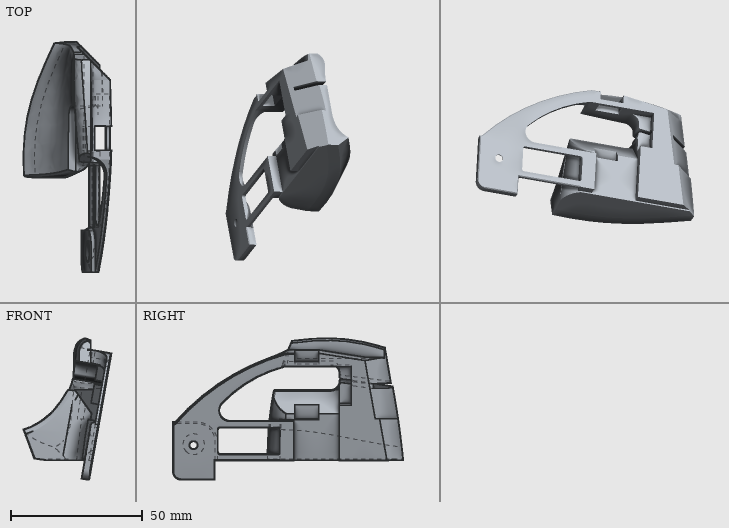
import cadquery as cq
import math

TILT = 10.0
PLATE_FOOT_X = 25.0
PLATE_THICK = 1.5
FAR = 131.4
OVERLAP = 0.9

BAR_BOTTOM = 7.45
BAR_WIDTH = 2.4
WINDOW_BOTTOM = BAR_BOTTOM + BAR_WIDTH
WINDOW_TOP = 20.2
OPENING_BOTTOM = WINDOW_TOP + BAR_WIDTH
PLATE_TOP = 48.9
EDGE_CHAMFER = 0.35
WINDOW_FRONT = 17.2
WINDOW_BACK = 40.7
WINDOW_RADIUS = 0.9
POST_BACK = 46.0

PAD_THICK = 2 * PLATE_THICK
PAD_LENGTH = 16.0
PAD_TOP = 21.4
PAD_ROUND = 7.9
PAD_FOOT_ROUND = 3.5
PAD_SLOPE = 30.0
HOLE_Y = 7.9
HOLE_V = 13.4
HOLE_DIAMETER = 3.1
SINK_DIAMETER = 8.1

BODY_BACK_W = -3.5
BODY_BOTTOM = 7.45
BODY_FRONT = 35.9
CORNER_START_W = -11.4
CORNER_END_Y = 41.6
CORNER_TOP = 34.2
BEVEL_TOP = (19.45, 34.35)
BEVEL_FOOT = (27.2, 23.5)
EDGE_LAND = 0.5
EDGE_DROP = 1.75
FRONT_RAKE = 4.5
HEEL_TOP = 8.15
HEEL_INSET = 4.1
HEEL_RUN = 4.7
CAP_BACK_X = 25.6
CAP_BACK_DROP = 0.9

NOTCH_FLOOR = 32.4
NOTCH_CEILING = 43.7
NOTCH_BACK = 63.35
NOTCH_ROUND = 3.3
SLOT_END = 87.6
SLOT_FRONT_V = 37.1
SLOT_FRONT_WIDTH = 1.4
SLOT_BACK_V = 33.5
SLOT_BACK_WIDTH = 1.9
SLOT_MOUTH_ROUND = 0.9
RECESS_LEFT_W = -4.4
RECESS_BACK = 67.9
RECESS_FLOOR = 28.9

ROOF_LEFT_W = -7.45
ROOF_GAP_FRONT = 46.4
ROOF_GAP_BACK = 55.55
ROOF_GAP_LEFT_W = -6.4
ROOF_GAP_TOP = 45.6
ROOF_BACK = 73.1
ROOF_BACK_TOP = 46.1
ARM_FRONT = 43.8
ARM_ROUND = 7.45
ARM_LEFT_W = -9.2

UPPER_TRIM = 106.0
LOWER_TRIM = 107.7
TRIM_STEP_Z = 23.3


def lean(solid):
    """Lean an upright (w, y, v) solid over and move it into place."""
    return solid.rotate((0, 0, 0), (0, 1, 0), TILT).translate((PLATE_FOOT_X, 0, 0))


def leaned_point(w, v):
    """Return the X and Z of a point given in the leaning frame."""
    angle = math.radians(TILT)
    x = PLATE_FOOT_X + w * math.cos(angle) + v * math.sin(angle)
    z = v * math.cos(angle) - w * math.sin(angle)
    return x, z


def block(w_range, y_range, v_range):
    """Upright box given by its ranges."""
    low, high = zip(w_range, y_range, v_range)
    size = [b - a for a, b in zip(low, high)]
    return cq.Workplane("XY").box(*size, centered=False).translate(low)


def side_profile(w):
    """Sketch plane across the plate at depth w, with axes y and v."""
    return cq.Workplane("YZ", origin=(w, 0, 0))


def frame_outline(depth):
    """Frame band with its sloping top edge and the large opening, before bending."""
    outer = (
        side_profile(-depth)
        .moveTo(0, 0)
        .lineTo(0, PAD_TOP)
        .lineTo(1.0, 22.1)
        .threePointArc((21.8, 39.7), (42.9, PLATE_TOP))
        .lineTo(POST_BACK, PLATE_TOP)
        .lineTo(POST_BACK, BAR_BOTTOM)
        .lineTo(PAD_LENGTH, BAR_BOTTOM)
        .lineTo(PAD_LENGTH, 0)
        .close()
        .extrude(depth)
        .faces(">X").edges("not >Y").chamfer(EDGE_CHAMFER)
    )
    opening = (
        side_profile(-depth)
        .moveTo(POST_BACK, OPENING_BOTTOM)
        .lineTo(21.7, OPENING_BOTTOM)
        .threePointArc((18.05, 25.0), (18.8, 29.6))
        .threePointArc((29.2, 38.0), (42.5, NOTCH_CEILING))
        .lineTo(POST_BACK, NOTCH_CEILING)
        .close()
        .extrude(depth)
    )
    return outer.cut(opening)


def frame_plate():
    """Flat frame with its window, and the posts that reach the grip body."""
    plate = frame_outline(PLATE_THICK)
    window = block(
        (-PLATE_THICK, 0), (WINDOW_FRONT, WINDOW_BACK), (WINDOW_BOTTOM, WINDOW_TOP)
    ).edges("|X").fillet(WINDOW_RADIUS)
    posts = block((BODY_BACK_W - OVERLAP, 0), (WINDOW_BACK, POST_BACK), (BAR_BOTTOM, OPENING_BOTTOM))
    return plate.cut(window).union(posts)


def arm():
    """Bend that carries the frame band across to the cap."""
    inner_w = -PLATE_THICK
    plan = (
        cq.Workplane("XY")
        .moveTo(0, ARM_FRONT - ARM_ROUND)
        .lineTo(inner_w, ARM_FRONT - ARM_ROUND)
        .radiusArc((inner_w - ARM_ROUND, ARM_FRONT), -ARM_ROUND)
        .lineTo(ARM_LEFT_W, ARM_FRONT)
        .lineTo(ARM_LEFT_W, ROOF_GAP_FRONT)
        .lineTo(0, ROOF_GAP_FRONT)
        .close()
        .extrude(FAR)
    )
    band = frame_outline(-ARM_LEFT_W).union(
        block((ARM_LEFT_W, 0), (POST_BACK, ROOF_GAP_FRONT), (NOTCH_CEILING, PLATE_TOP))
    )
    return band.intersect(plan).intersect(
        block((ARM_LEFT_W, 0), (0, FAR), (OPENING_BOTTOM + BAR_WIDTH, FAR))
    )


def mounting_pad():
    """Raised pad with sloping sides where it meets the frame."""
    step = PAD_THICK - PLATE_THICK
    flare = step * math.tan(math.radians(PAD_SLOPE))
    pad = (
        side_profile(-PLATE_THICK)
        .moveTo(-PAD_LENGTH, -PAD_TOP)
        .lineTo(-PAD_LENGTH, PAD_TOP + flare)
        .lineTo(PAD_LENGTH + flare - PAD_ROUND, PAD_TOP + flare)
        .radiusArc((PAD_LENGTH + flare, PAD_TOP + flare - PAD_ROUND), PAD_ROUND)
        .lineTo(PAD_LENGTH + flare, -PAD_TOP)
        .close()
        .extrude(-step, taper=PAD_SLOPE)
    )
    flared = block((-PAD_THICK, 0), (0, PAD_LENGTH + flare), (BAR_BOTTOM, FAR))
    square = block((-PAD_THICK, 0), (0, PAD_LENGTH), (0, FAR))
    return pad.intersect(flared.union(square))


def finish_pad(part):
    """Round the pad foot and sink the screw hole."""
    corner = block((-PAD_THICK, 0), (0, PAD_FOOT_ROUND), (0, PAD_FOOT_ROUND)).cut(
        side_profile(-PAD_THICK).center(PAD_FOOT_ROUND, PAD_FOOT_ROUND).circle(PAD_FOOT_ROUND)
        .extrude(PAD_THICK)
    )
    hole = side_profile(-PAD_THICK).center(HOLE_Y, HOLE_V).circle(HOLE_DIAMETER / 2).extrude(PAD_THICK)
    sink_depth = (SINK_DIAMETER - HOLE_DIAMETER) / 2
    sink = cq.Workplane(
        cq.Solid.makeCone(
            SINK_DIAMETER / 2, HOLE_DIAMETER / 2, sink_depth,
            cq.Vector(-PAD_THICK, HOLE_Y, HOLE_V), cq.Vector(1, 0, 0),
        )
    )
    return part.cut(corner).cut(hole).cut(sink)


GRIP_STATIONS = [
    (35.05, [(0.3, 19.0), (12.6, 27.9), (16.8, 34.2), (21.9, 45.6), (22.8, 50.3), (25.0, 51.8)]),
    (48.2, [(0.1, 18.9), (12.5, 27.7), (16.8, 34.0), (20.6, 44.7), (21.3, 51.1), (24.2, 53.3)]),
    (61.3, [(1.9, 17.1), (13.0, 27.0), (17.3, 34.2), (19.5, 44.7), (20.4, 51.9), (23.3, 53.9)]),
    (74.5, [(6.1, 14.55), (14.0, 23.2), (18.0, 34.2), (19.2, 43.8), (19.6, 49.8), (22.3, 52.05)]),
    (88.5, [(12.35, 12.4), (16.65, 15.8), (19.2, 26.3), (19.45, 40.3), (19.7, 45.6), (21.9, 47.75)]),
]


def grip_section(y, hand_points):
    """Closed cross section of body and cap at station y."""
    lip_x, lip_z = hand_points[0]
    crown_z = hand_points[-1][1]
    heel_x = lip_x + HEEL_INSET
    shoulder = leaned_point(BODY_BACK_W, NOTCH_CEILING)
    back_foot_x = leaned_point(BODY_BACK_W, BODY_BOTTOM)[0]
    return (
        cq.Workplane("XZ", origin=(0, y, 0))
        .moveTo(lip_x, lip_z)
        .spline(hand_points[1:], includeCurrent=True)
        .lineTo(CAP_BACK_X, crown_z - CAP_BACK_DROP)
        .lineTo(CAP_BACK_X, shoulder[1] + CAP_BACK_DROP)
        .lineTo(*shoulder)
        .lineTo(back_foot_x, BODY_BOTTOM)
        .lineTo(heel_x + HEEL_RUN, BODY_BOTTOM)
        .lineTo(heel_x, HEEL_TOP)
        .close()
        .wire()
        .val()
    )


def side_trim():
    """Outline of the grip body and cap projected on the YZ plane."""
    return (
        cq.Workplane("YZ")
        .moveTo(BODY_FRONT, BODY_BOTTOM)
        .threePointArc((36.4, 19.0), (38.5, 34.35))
        .lineTo(42.0, 45.1)
        .lineTo(45.6, 53.45)
        .lineTo(45.6, 61.3)
        .lineTo(78.8, 61.3)
        .lineTo(83.0, 36.7)
        .lineTo(83.4, 36.7)
        .threePointArc((85.9, 21.9), (87.6, BODY_BOTTOM))
        .close()
        .extrude(FAR)
    )


def grip_corner():
    """Waste outside the rounded inner corner of the front end."""
    return (
        cq.Workplane("XY")
        .moveTo(CORNER_START_W, BODY_FRONT)
        .threePointArc((-7.0, 37.5), (BODY_BACK_W, CORNER_END_Y))
        .lineTo(0, CORNER_END_Y)
        .lineTo(0, 0)
        .lineTo(CORNER_START_W, 0)
        .close()
        .extrude(CORNER_TOP)
        .rotate((0, BODY_FRONT, BODY_BOTTOM), (1, BODY_FRONT, BODY_BOTTOM), -FRONT_RAKE)
    )


def grip_back_bevel():
    """Waste above the sloping face behind the notch floor."""
    return (
        cq.Workplane("XZ", origin=(0, NOTCH_BACK, 0))
        .polyline([BEVEL_TOP, BEVEL_FOOT, (FAR, BEVEL_FOOT[1]), (FAR, BEVEL_TOP[1])])
        .close()
        .extrude(NOTCH_BACK)
    )


def grip():
    """Body and cap lofted as one shape, trimmed, bevelled and cornered."""
    sections = [grip_section(y, points) for y, points in GRIP_STATIONS]
    body = cq.Workplane(cq.Solid.makeLoft(sections))
    body = body.intersect(side_trim())
    front_edge = body.edges(cq.selectors.NearestToPointSelector((7.9, 36.6, 24.5)))
    body = front_edge.chamfer(EDGE_LAND, EDGE_DROP)
    return body.cut(lean(grip_corner())).cut(grip_back_bevel())


def roof_and_back():
    """Roof from cap to plate, and the back wall that joins body and plate."""
    roof = (
        side_profile(ROOF_LEFT_W)
        .polyline([
            (ROOF_GAP_FRONT, NOTCH_CEILING), (ROOF_GAP_FRONT, PLATE_TOP),
            (ROOF_GAP_BACK, PLATE_TOP), (ROOF_BACK, ROOF_BACK_TOP), (FAR, ROOF_BACK_TOP),
            (FAR, NOTCH_CEILING),
        ])
        .close()
        .extrude(-ROOF_LEFT_W)
    )
    wall = block((BODY_BACK_W - OVERLAP, 0), (NOTCH_BACK, FAR), (BAR_BOTTOM, NOTCH_CEILING))
    return roof.union(wall)


def roof_gap():
    """Opening through the roof, with the plate edge lowered beside it."""
    span = (ROOF_GAP_FRONT, ROOF_GAP_BACK)
    through = block((ROOF_GAP_LEFT_W, -PLATE_THICK), span, (OPENING_BOTTOM, FAR))
    lowered = block((-PLATE_THICK, 0), span, (ROOF_GAP_TOP, FAR))
    return through.union(lowered)


def notch_and_slot():
    """Waste of the notch, the narrow slot behind it and the recess beside the plate."""
    notch = block(
        (-FAR, FAR), (0, NOTCH_BACK), (NOTCH_FLOOR, NOTCH_CEILING)
    ).edges("|X and >Y").fillet(NOTCH_ROUND)
    slot = (
        side_profile(-FAR)
        .polyline([
            (NOTCH_BACK - OVERLAP, SLOT_FRONT_V), (SLOT_END, SLOT_BACK_V),
            (SLOT_END, SLOT_BACK_V + SLOT_BACK_WIDTH),
            (NOTCH_BACK - OVERLAP, SLOT_FRONT_V + SLOT_FRONT_WIDTH),
        ])
        .close()
        .extrude(FAR - PLATE_THICK)
    )
    recess = block((RECESS_LEFT_W, 0), (0, RECESS_BACK), (RECESS_FLOOR, NOTCH_CEILING))
    mouth_low = (-FAR, NOTCH_BACK - OVERLAP / 2, NOTCH_FLOOR + NOTCH_ROUND + OVERLAP / 2)
    mouth_high = (FAR, NOTCH_BACK + OVERLAP / 2, NOTCH_CEILING - NOTCH_ROUND - OVERLAP / 2)
    mouth = cq.selectors.BoxSelector(mouth_low, mouth_high)
    cutter = notch.union(slot).edges(mouth).edges("|X").fillet(SLOT_MOUTH_ROUND)
    return cutter.union(recess)


def back_trim(limit, z_low, z_high):
    """Waste behind the diagonal plane x + y = limit over a band of heights."""
    return (
        cq.Workplane("XY", origin=(0, 0, z_low))
        .polyline([(0, limit), (limit, 0), (limit, FAR), (0, FAR)])
        .close()
        .extrude(z_high - z_low)
    )


frame = finish_pad(frame_plate().union(arm()).union(mounting_pad()))
part = grip().union(lean(roof_and_back())).cut(lean(notch_and_slot())).cut(lean(roof_gap()))
part = part.cut(back_trim(LOWER_TRIM, 0, TRIM_STEP_Z))
part = part.cut(back_trim(UPPER_TRIM, TRIM_STEP_Z, FAR))
result = part.union(lean(frame))